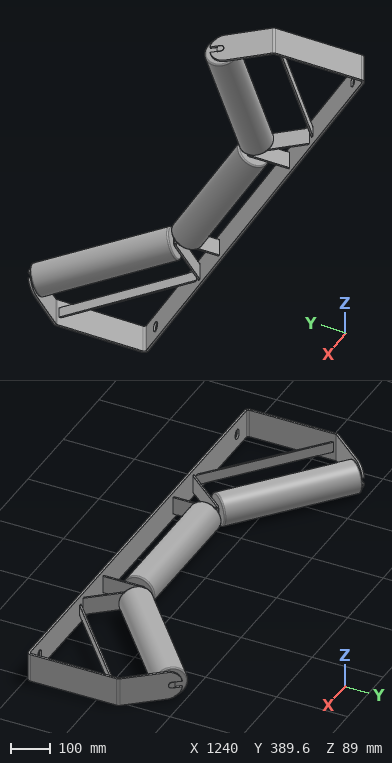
import cadquery as cq
import math

overall_length = 1240.0
strip_width = 80.0
strip_thickness = 6.0
bend_radius = 12.0
plate_length = 167.0
mount_hole_inset = 63.0
mount_hole_width = 20.0
mount_hole_height = 27.0

roller_tilt = 40.0
roller_length = 380.0
roller_diameter = 89.0
roller_edge_radius = 4.0
shaft_width = 17.0
end_gap = 6.0
centre_roller_height = 100.0
wing_roller_x = 376.0
wing_roller_y = 235.0

bracket_height = 126.0
bracket_width = 50.0
bracket_thickness = 5.0
bracket_bend_radius = 10.0
brace_width = 30.0
brace_thickness = 5.0
brace_top = 249.0

half_length = overall_length / 2
wall_inner_x = -half_length + strip_thickness
plate_reach = roller_length / 2 + end_gap
shaft_reach = plate_reach + bracket_thickness
tilt = math.radians(roller_tilt)
wing_middle = (-wing_roller_x, wing_roller_y)
wing_axis = (math.cos(tilt), -math.sin(tilt))
lean = (math.sin(tilt), math.cos(tilt))


def along(start, direction, distance):
    return (start[0] + direction[0] * distance, start[1] + direction[1] * distance)


def extrude_outline(points, width):
    """Solid with the given XY outline, centred on the mid-plane Z = 0."""
    return cq.Workplane("XY").workplane(offset=-width / 2).polyline(points).close().extrude(width)


def fillet_corner(body, corner, radius):
    """Round the upright edge at one XY corner."""
    nearest = cq.selectors.NearestToPointSelector((corner[0], corner[1], 0))
    return body.edges("|Z").edges(nearest).fillet(radius)


def mirror_x(body):
    return body.mirror("YZ")


def tilt_to_wing(body):
    """Turn a body built along X to the slope of the left wing roller."""
    return body.rotate((0, 0, 0), (0, 0, 1), -roller_tilt)


def place_on_wing(body):
    return tilt_to_wing(body).translate((wing_middle[0], wing_middle[1], 0))


def place_on_centre(body):
    return body.translate((0, centre_roller_height, 0))


def u_bar(start_x, length, top):
    """Bar along X, half round below its axis and square above it up to the given height."""
    radius = shaft_width / 2
    return (
        cq.Workplane("YZ")
        .workplane(offset=start_x)
        .moveTo(top, -radius)
        .lineTo(0, -radius)
        .threePointArc((-radius, 0), (0, radius))
        .lineTo(top, radius)
        .close()
        .extrude(length)
    )


def make_roller():
    """Roller with its shaft, along X and centred at the origin."""
    drum = (
        cq.Workplane("YZ")
        .workplane(offset=-roller_length / 2)
        .circle(roller_diameter / 2)
        .extrude(roller_length)
        .edges()
        .fillet(roller_edge_radius)
    )
    shaft = u_bar(-shaft_reach, 2 * shaft_reach, shaft_width / 2)
    return drum.union(shaft)


def make_shaft_slots():
    """Cutters for the open-topped slots that seat both ends of a shaft built like make_roller."""
    slot_length = 2 * strip_thickness
    slot_top = roller_diameter
    left_slot = u_bar(-plate_reach - slot_length, slot_length, slot_top)
    return left_slot.union(mirror_x(left_slot))


def make_tip_rounding(tip):
    """Material to remove around the semicircular tip of the left end plate."""
    radius = strip_width / 2
    depth = 4 * strip_thickness
    block = cq.Workplane("XY").box(depth, radius, strip_width).translate((0, -radius / 2, 0))
    disc = cq.Workplane("YZ").workplane(offset=-depth / 2).center(-radius, 0).circle(radius).extrude(depth)
    return tilt_to_wing(block.cut(disc)).translate((tip[0], tip[1], 0))


def make_mount_hole(x):
    """Upright oblong hole cutter through the base strip."""
    return (
        cq.Workplane("XZ")
        .center(x, 0)
        .slot2D(mount_hole_height, mount_hole_width, 90)
        .extrude(-2 * strip_thickness)
    )


def make_frame():
    """Base strip with both ends bent up into walls and inward into leaning end plates."""
    plate_point = along(wing_middle, wing_axis, -(plate_reach + strip_thickness))
    wall_height = plate_point[1] - (half_length + plate_point[0]) / math.tan(tilt)
    foot = (-half_length, 0)
    corner = (-half_length, wall_height)
    tip = along(corner, lean, plate_length)
    inner_tip = along(tip, wing_axis, strip_thickness)
    inner_corner = (wall_inner_x, wall_height - strip_thickness * math.tan(tilt / 2))
    inner_foot = (wall_inner_x, strip_thickness)

    left_side = [foot, corner, tip, inner_tip, inner_corner, inner_foot]
    right_side = [(-x, y) for x, y in reversed(left_side)]
    frame = extrude_outline(left_side + right_side, strip_width)

    inside_radius = bend_radius - strip_thickness
    for (x, y), radius in [
        (foot, bend_radius),
        (corner, bend_radius),
        (inner_corner, inside_radius),
        (inner_foot, inside_radius),
    ]:
        frame = fillet_corner(frame, (x, y), radius)
        frame = fillet_corner(frame, (-x, y), radius)

    left_hole = make_mount_hole(mount_hole_inset - half_length)
    for cutter in (left_hole, make_tip_rounding(tip), place_on_wing(make_shaft_slots())):
        frame = frame.cut(cutter).cut(mirror_x(cutter))
    return frame


def make_bracket():
    """Left inner bracket: folded strip with a leaning leg for the wing roller and an upright
    leg for the centre roller."""
    base = strip_thickness
    top = bracket_height
    under = bracket_height - bracket_thickness
    near_x = -plate_reach
    far_x = near_x - bracket_thickness
    near_point = along(wing_middle, wing_axis, plate_reach)
    far_point = along(near_point, wing_axis, bracket_thickness)

    def on_leaning_face(point, y):
        return (point[0] + (y - point[1]) * math.tan(tilt), y)

    leaning_top = on_leaning_face(near_point, top)
    upright_top = (near_x, top)
    bracket = extrude_outline(
        [
            on_leaning_face(near_point, base),
            leaning_top,
            upright_top,
            (near_x, base),
            (far_x, base),
            (far_x, under),
            on_leaning_face(far_point, under),
            on_leaning_face(far_point, base),
        ],
        bracket_width,
    )
    for corner in (leaning_top, upright_top):
        bracket = fillet_corner(bracket, corner, bracket_bend_radius)

    slots = make_shaft_slots()
    return bracket.cut(place_on_wing(slots)).cut(place_on_centre(slots))


def make_brace():
    """Left diagonal flat, parallel to the wing roller, from the end wall down to the base."""
    base = strip_thickness
    drop = brace_thickness / math.cos(tilt)
    run = brace_thickness / math.sin(tilt)
    foot_x = wall_inner_x + (brace_top - base) / math.tan(tilt)
    outline = [
        (wall_inner_x, brace_top),
        (foot_x, base),
        (foot_x - run, base),
        (wall_inner_x, brace_top - drop),
    ]
    return extrude_outline(outline, brace_width)


frame = make_frame()
roller = make_roller()
centre_roller = place_on_centre(roller)
wing_roller = place_on_wing(roller)
bracket = make_bracket()
brace = make_brace()

bodies = [frame, centre_roller]
for left_body in (wing_roller, bracket, brace):
    bodies += [left_body, mirror_x(left_body)]

result = cq.Compound.makeCompound([body.solids().val() for body in bodies])